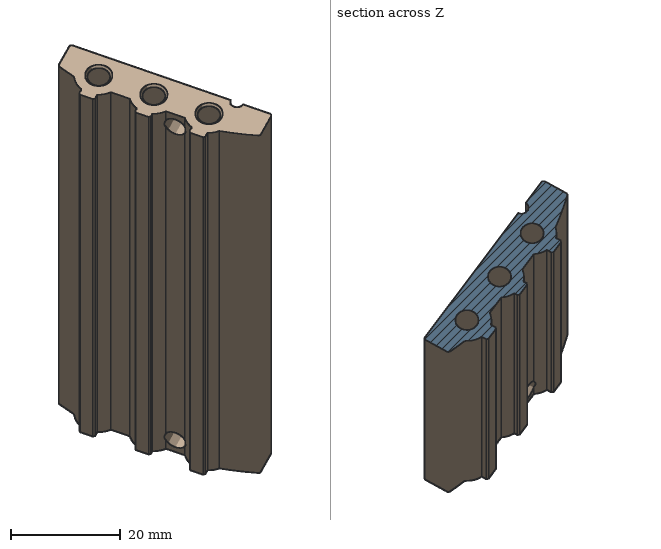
import cadquery as cq
import math

width = 40.3
thickness = 10.0
length = 98.5

hole_pitch = 11.0
middle_hole_x = -1.47
hole_depth_from_back = 4.5
hole_diameter = 4.13
countersink_diameter = 5.0
boss_radius = 4.5
rib_width = 3.15
rib_chamfer = 0.3
middle_rib_setback = 0.3

valley_from_back = 7.2
side_height = 5.45
crown_radius = 62.0
left_blend_radius = 0.785
back_corner_radius = 0.5
front_corner_radius = 0.5

groove_x = 13.1
groove_radius = 1.25
groove_center_offset = 0.1

cross_hole_diameter = 4.2
cross_hole_end_distance = 3.55

edge_search_reach = 0.1

half_width = width / 2
half_length = length / 2
back_y = thickness / 2
hole_y = back_y - hole_depth_from_back
valley_y = back_y - valley_from_back
left_hole_x = middle_hole_x - hole_pitch
right_hole_x = middle_hole_x + hole_pitch
hole_xs = [left_hole_x, middle_hole_x, right_hole_x]
cross_hole_x = (middle_hole_x + right_hole_x) / 2
cross_hole_z = half_length - cross_hole_end_distance
crown_center_y = back_y - side_height + math.sqrt(crown_radius**2 - half_width**2)


def extrude_full_length(sketch):
    return sketch.extrude(length)


def end_plane():
    return cq.Workplane("XY", origin=(0, 0, -half_length))


def make_body():
    """Bar bounded in front by the large crown arc, cut flat across the valleys."""
    bar = extrude_full_length(end_plane().rect(width, thickness))
    crown = extrude_full_length(end_plane().center(0, crown_center_y).circle(crown_radius))
    body = bar.intersect(crown)
    valley_width = right_hole_x - left_hole_x
    valley = extrude_full_length(
        end_plane().center(middle_hole_x, valley_y - thickness / 2).rect(valley_width, thickness)
    )
    return body.cut(valley).edges("|Z and >Y").fillet(back_corner_radius)


def make_boss(x):
    """Half-round front wall concentric with a lengthwise hole."""
    half_disk = (
        end_plane()
        .center(x, hole_y)
        .moveTo(-boss_radius, 0)
        .threePointArc((0, -boss_radius), (boss_radius, 0))
        .close()
    )
    return extrude_full_length(half_disk)


def make_rib(x, setback):
    """Rib from the hole centre out to a chamfered tip, shortened by the setback."""
    tip_y = setback - thickness / 2
    height = hole_y - tip_y
    rib = extrude_full_length(end_plane().center(x, tip_y + height / 2).rect(rib_width, height))
    return rib.faces("<Y").edges("|Z").chamfer(rib_chamfer)


def edge_near(body, x, y):
    """The lengthwise edge passing through (x, y)."""
    reach = edge_search_reach
    return body.edges("|Z").edges(cq.selectors.BoxSelector(
        (x - reach, y - reach, -length), (x + reach, y + reach, length)
    ))


def crown_boss_meeting():
    """Point on the left where the crown arc meets the left boss."""
    dx = left_hole_x
    dy = hole_y - crown_center_y
    distance = math.hypot(dx, dy)
    along = (crown_radius**2 - boss_radius**2 + distance**2) / (2 * distance)
    across = math.sqrt(crown_radius**2 - along**2)
    x = (along * dx + across * dy) / distance
    y = crown_center_y + (along * dy - across * dx) / distance
    return x, y


def make_long_hole(x):
    """Through hole with a 45 degree countersink at both ends."""
    hole_radius = hole_diameter / 2
    sink_radius = countersink_diameter / 2
    sink_depth = sink_radius - hole_radius
    half_section = (
        cq.Workplane("XZ", origin=(x, hole_y, 0))
        .moveTo(0, -half_length)
        .lineTo(sink_radius, -half_length)
        .lineTo(hole_radius, -half_length + sink_depth)
        .lineTo(hole_radius, half_length - sink_depth)
        .lineTo(sink_radius, half_length)
        .lineTo(0, half_length)
        .close()
    )
    return half_section.revolve(360, (0, 0, 0), (0, 1, 0))


def make_groove():
    groove_y = back_y + groove_center_offset
    return extrude_full_length(end_plane().center(groove_x, groove_y).circle(groove_radius))


def make_cross_hole(z):
    plane = cq.Workplane("XZ", origin=(cross_hole_x, back_y, z))
    return plane.circle(cross_hole_diameter / 2).extrude(thickness)


result = make_body()
for hole_x in hole_xs:
    rib_setback = middle_rib_setback if hole_x == middle_hole_x else 0
    result = result.union(make_boss(hole_x)).union(make_rib(hole_x, rib_setback))

result = edge_near(result, *crown_boss_meeting()).fillet(left_blend_radius)
for side in (-1, 1):
    result = edge_near(result, side * half_width, back_y - side_height).fillet(front_corner_radius)

for hole_x in hole_xs:
    result = result.cut(make_long_hole(hole_x))
result = result.cut(make_groove())
for end in (-1, 1):
    result = result.cut(make_cross_hole(end * cross_hole_z))